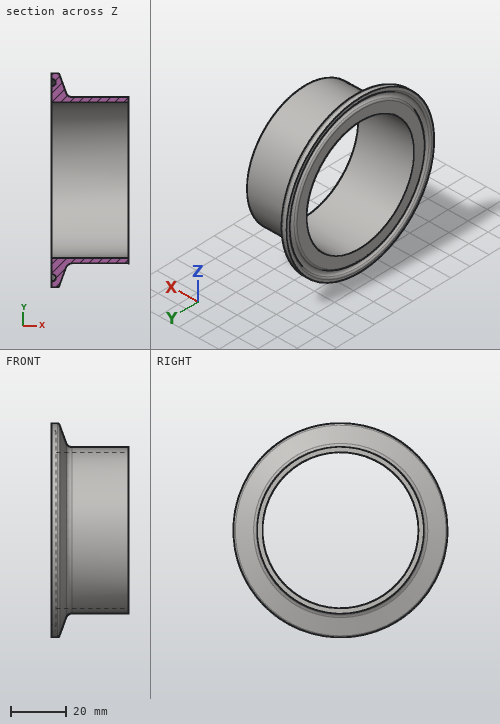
import cadquery as cq
import math

length = 28.0
flange_radius = 77.5 / 2
neck_radius = 60.3 / 2
bore_radius = 56.3 / 2

rim_width = 2.8
cone_angle = math.radians(20)
rim_fillet = 1.0
neck_fillet = 2.0

groove_radius = 35.35
groove_depth = 1.55
groove_half_width = 2.0
groove_bottom_radius = 1.2


def make_body():
    """Revolve the flange and neck, then round the two ends of the cone."""
    cone_end = rim_width + (flange_radius - neck_radius) * math.tan(cone_angle)
    body = (
        cq.Workplane("XY")
        .moveTo(0, bore_radius)
        .lineTo(0, flange_radius)
        .lineTo(rim_width, flange_radius)
        .lineTo(cone_end, neck_radius)
        .lineTo(length, neck_radius)
        .lineTo(length, bore_radius)
        .close()
        .revolve(360, (0, 0, 0), (1, 0, 0))
    )

    margin = 0.1

    def circle_at(x, radius):
        """Select the circular edge lying in the plane at x, within a small margin."""
        return cq.selectors.BoxSelector(
            (x - margin, -radius - margin, -radius - margin),
            (x + margin, radius + margin, radius + margin),
            boundingbox=True,
        )

    body = body.edges(circle_at(rim_width, flange_radius)).fillet(rim_fillet)
    return body.edges(circle_at(cone_end, neck_radius)).fillet(neck_fillet)


def make_groove():
    """Revolve the groove section; its lip arcs are tangent to face and bottom."""
    bottom_center = groove_depth - groove_bottom_radius
    lip_radius = (groove_half_width**2 + bottom_center**2 - groove_bottom_radius**2) / (
        2 * groove_depth
    )
    lip_angle = math.asin(groove_half_width / (groove_bottom_radius + lip_radius))

    def lip_point(side, angle):
        """Point on a lip arc, turned by angle from where it meets the face."""
        x = lip_radius * (1 - math.cos(angle))
        offset = groove_half_width - lip_radius * math.sin(angle)
        return (x, groove_radius + side * offset)

    return (
        cq.Workplane("XY")
        .moveTo(*lip_point(1, 0))
        .threePointArc(lip_point(1, lip_angle / 2), lip_point(1, lip_angle))
        .threePointArc((groove_depth, groove_radius), lip_point(-1, lip_angle))
        .threePointArc(lip_point(-1, lip_angle / 2), lip_point(-1, 0))
        .close()
        .revolve(360, (0, 0, 0), (1, 0, 0))
    )


result = make_body().cut(make_groove())